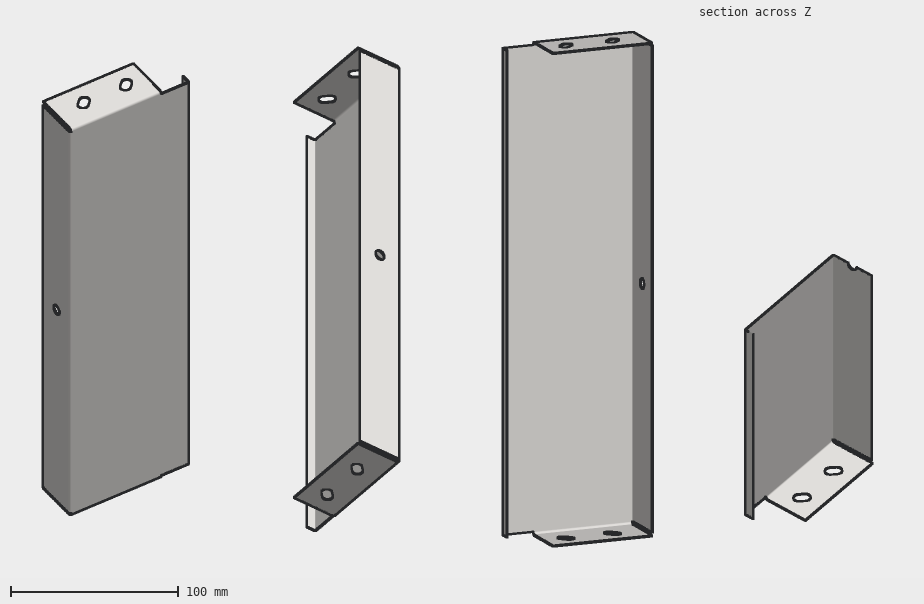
import cadquery as cq

width = 30.7
depth = 85.0
height = 304.0
sheet = 0.73
wall_bend = 1.2
flange_bend = 2.0

wall_inset = 2.0
edge_gap = 1.0
lip_length = 6.7
flange_rear = 65.0

hole_diameter = 6.5
front_hole_x = 15.8
slot_length = 10.3
slot_x = 14.0
slot_y_positions = (20.7, 50.8)
slot_angle = 45

wall_height = height - 2 * wall_inset


def folded_channel(plane, left_start, right_start, span, bend_radius, length):
    """Extrude a U section; the first and last legs run in from their free ends to the web."""
    inner_radius = bend_radius - sheet
    return (
        cq.Workplane(plane)
        .moveTo(left_start, 0)
        .lineTo(width - bend_radius, 0)
        .radiusArc((width, bend_radius), -bend_radius)
        .lineTo(width, span - bend_radius)
        .radiusArc((width - bend_radius, span), -bend_radius)
        .lineTo(right_start, span)
        .lineTo(right_start, span - sheet)
        .lineTo(width - bend_radius, span - sheet)
        .radiusArc((width - sheet, span - bend_radius), inner_radius)
        .lineTo(width - sheet, bend_radius)
        .radiusArc((width - bend_radius, sheet), inner_radius)
        .lineTo(left_start, sheet)
        .close()
        .extrude(length)
    )


def slot_pair(bottom_z, angle):
    """Cutters for the two diagonal slots of one end flange."""
    return (
        cq.Workplane("XY", origin=(0, 0, bottom_z))
        .pushPoints([(slot_x, y) for y in slot_y_positions])
        .slot2D(slot_length, hole_diameter, angle)
        .extrude(sheet)
    )


wall_channel = folded_channel("XY", edge_gap, width - lip_length, depth, wall_bend, wall_height)
wall_channel = wall_channel.translate((0, 0, wall_inset))

flange_channel = folded_channel("XZ", 0, 0, height, flange_bend, flange_rear - edge_gap)
flange_channel = flange_channel.translate((0, flange_rear, 0))

fold_clearance = (
    cq.Workplane("XY", origin=(0, 0, wall_inset))
    .rect(width, wall_bend, centered=False)
    .extrude(wall_height)
)
body = wall_channel.union(flange_channel.cut(fold_clearance))

body = body.cut(slot_pair(height - sheet, -slot_angle))
body = body.cut(slot_pair(0, slot_angle))

front_hole = (
    cq.Workplane("XZ", origin=(front_hole_x, 0, height / 2))
    .circle(hole_diameter / 2)
    .extrude(-sheet)
)
result = body.cut(front_hole)